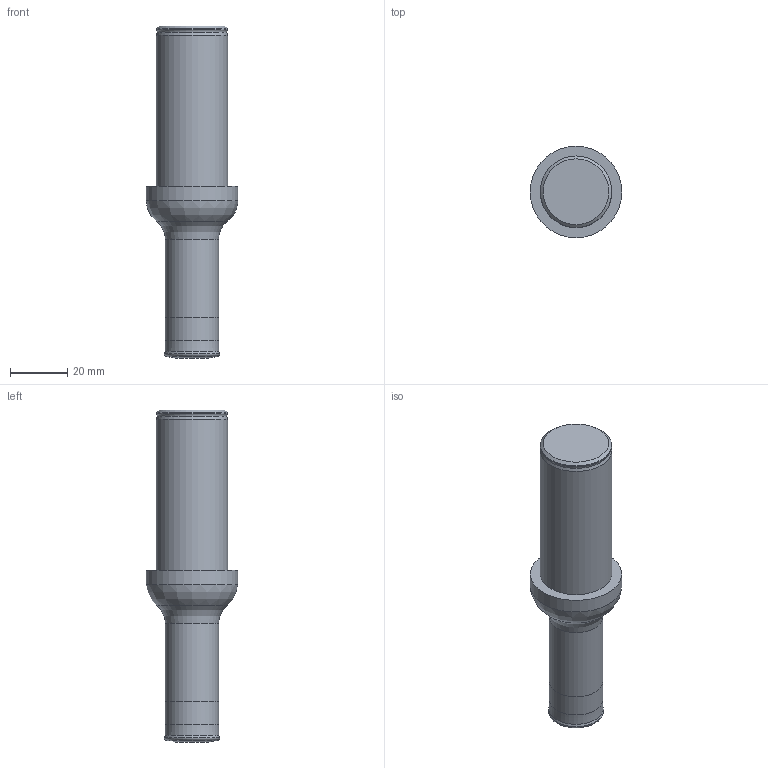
import cadquery as cq
import math

total_height = 116.0
collar_top_z = 60.0
collar_bottom_z = 55.0
joint_z = 14.0

shaft_radius = 24.99 / 2
collar_radius = 32.0 / 2
stem_radius = 18.6 / 2

rim_chamfer_width = 1.0
rim_chamfer_height = 0.9
rim_land = 0.4
groove_depth = 0.35
groove_upper_height = 0.95
groove_lower_height = 1.05

convex_radius = 9.0
concave_radius = 8.0

flare_start_z = 6.2
flare_growth = 0.1
lip_cone_top_z = 2.3
lip_top_z = 1.55
lip_radius = 19.4 / 2
end_edge_z = 0.5
end_edge_radius = 8.9
end_flat_radius = 11.4 / 2


def revolve_profile(profile):
    """Revolve a closed (radius, Z) profile about the Z axis."""
    return profile.close().revolve(360, (0, 0, 0), (0, 1, 0))


def arc_from_upright(height, offset):
    """Sideways shift at mid-height of an arc that starts upright and shifts by offset over height."""
    radius = (height**2 + offset**2) / (2 * offset)
    return radius - math.sqrt(radius**2 - (height / 2) ** 2)


def make_holder():
    """Shaft, collar and upper stem, ending at the flat joint face."""
    rim_top_z = total_height - rim_chamfer_height
    groove_top_z = rim_top_z - rim_land
    groove_floor_z = groove_top_z - groove_upper_height
    groove_bottom_z = groove_floor_z - groove_lower_height

    groove_radius = shaft_radius - groove_depth
    wall_shift = arc_from_upright(groove_upper_height, groove_depth)
    groove_middle = (groove_radius + wall_shift, groove_floor_z + groove_upper_height / 2)

    sweep = math.acos(1 - (collar_radius - stem_radius) / (convex_radius + concave_radius))
    convex_center = (collar_radius - convex_radius, collar_bottom_z)
    concave_center = (
        stem_radius + concave_radius,
        collar_bottom_z - (convex_radius + concave_radius) * math.sin(sweep),
    )

    def on_convex(angle):
        return (
            convex_center[0] + convex_radius * math.cos(angle),
            convex_center[1] - convex_radius * math.sin(angle),
        )

    def on_concave(angle):
        return (
            concave_center[0] - concave_radius * math.cos(angle),
            concave_center[1] + concave_radius * math.sin(angle),
        )

    profile = (
        cq.Workplane("XZ")
        .moveTo(0, total_height)
        .lineTo(shaft_radius - rim_chamfer_width, total_height)
        .lineTo(shaft_radius, rim_top_z)
        .lineTo(shaft_radius, groove_top_z)
        .threePointArc(groove_middle, (groove_radius, groove_floor_z))
        .lineTo(shaft_radius, groove_bottom_z)
        .lineTo(shaft_radius, collar_top_z)
        .lineTo(collar_radius, collar_top_z)
        .lineTo(collar_radius, collar_bottom_z)
        .threePointArc(on_convex(sweep / 2), on_convex(sweep))
        .threePointArc(on_concave(sweep / 2), on_concave(0))
        .lineTo(stem_radius, joint_z)
        .lineTo(0, joint_z)
    )
    return revolve_profile(profile)


def make_tip():
    """Tip that continues the stem below the joint face."""
    flare_height = flare_start_z - lip_cone_top_z
    flare_middle = (
        stem_radius + arc_from_upright(flare_height, flare_growth),
        flare_start_z - flare_height / 2,
    )

    lip_height = lip_top_z - end_edge_z
    lip_middle = (
        lip_radius - arc_from_upright(lip_height, lip_radius - end_edge_radius),
        lip_top_z - lip_height / 2,
    )

    profile = (
        cq.Workplane("XZ")
        .moveTo(0, joint_z)
        .lineTo(stem_radius, joint_z)
        .lineTo(stem_radius, flare_start_z)
        .threePointArc(flare_middle, (stem_radius + flare_growth, lip_cone_top_z))
        .lineTo(lip_radius, lip_top_z)
        .threePointArc(lip_middle, (end_edge_radius, end_edge_z))
        .lineTo(end_flat_radius, 0)
        .lineTo(0, 0)
    )
    return revolve_profile(profile)


holder = make_holder()
tip = make_tip()

result = cq.Compound.makeCompound([holder.val(), tip.val()])